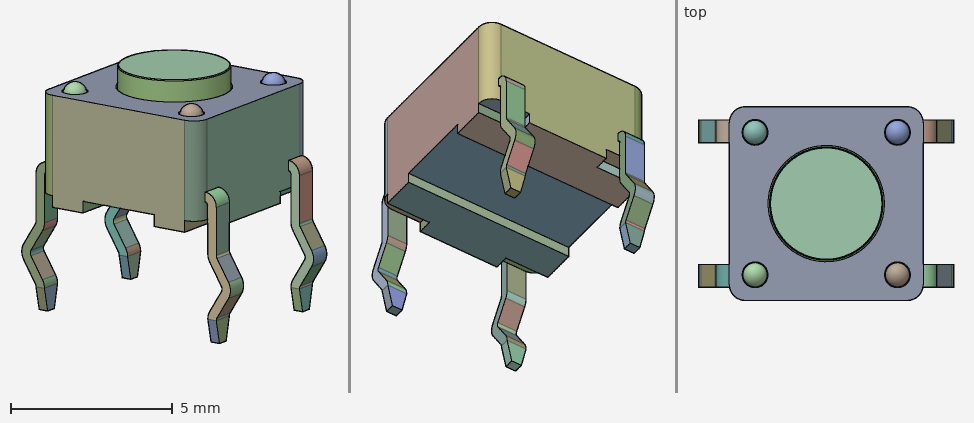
import cadquery as cq
import math


housing_side = 6.0
housing_top = 3.6
corner_radius = 0.5
foot_height = 0.38
centre_channel_width = 2.69
side_foot_length = 2.87

cover_thickness = 0.3
button_hole_diameter = 3.6
peg_hole_diameter = 0.8

button_diameter = 3.5
button_top = 4.29
button_chamfer = 0.03
peg_diameter = 0.75
peg_top = 3.89
peg_offset = 2.2

lead_span = 7.89
lead_thickness = 0.32
lead_width = 0.71
lead_offset = 2.23
leg_outer_span = 6.82
shoulder_top = 1.28
shoulder_inner_radius = 0.1
bend_inner_radius = 0.165
kink_angle = math.radians(32.0)
kink_apex_z = -1.735
lead_bottom = -3.56
tip_start_z = -2.785
tip_width = 0.36
lead_embed = 0.16

half_side = housing_side / 2
cover_floor = housing_top - cover_thickness


def grid(offset):
    """Four positions, symmetric about X and Y."""
    return [(x, y) for x in (-offset, offset) for y in (-offset, offset)]


def make_housing():
    upper = (
        cq.Workplane("XY", origin=(0, 0, foot_height))
        .rect(housing_side, housing_side)
        .extrude(housing_top - foot_height)
        .edges("|Z")
        .fillet(corner_radius)
    )
    straight_side = housing_side - 2 * corner_radius
    feet = (
        cq.Workplane("XY")
        .rect(straight_side, housing_side)
        .extrude(foot_height)
        .union(cq.Workplane("XY").rect(housing_side, side_foot_length).extrude(foot_height))
        .cut(cq.Workplane("XY").rect(centre_channel_width, housing_side).extrude(foot_height))
    )
    return upper.union(feet)


def cut_cover_holes(body):
    cover = cq.Workplane("XY", origin=(0, 0, cover_floor))
    button_hole = cover.circle(button_hole_diameter / 2).extrude(cover_thickness)
    peg_holes = cover.pushPoints(grid(peg_offset)).circle(peg_hole_diameter / 2).extrude(cover_thickness)
    return body.cut(button_hole).cut(peg_holes)


def make_button():
    return (
        cq.Workplane("XY", origin=(0, 0, cover_floor))
        .circle(button_diameter / 2)
        .extrude(button_top - cover_floor)
        .faces(">Z")
        .chamfer(button_chamfer)
    )


def make_pegs():
    """Round pegs ending in hemispheres."""
    radius = peg_diameter / 2
    dome_centre_z = peg_top - radius
    shafts = (
        cq.Workplane("XY", origin=(0, 0, cover_floor))
        .pushPoints(grid(peg_offset))
        .circle(radius)
        .extrude(dome_centre_z - cover_floor)
    )
    domes = cq.Workplane("XY", origin=(0, 0, dome_centre_z)).pushPoints(grid(peg_offset)).sphere(radius)
    return shafts.union(domes)


def rounded_path(points, radii):
    """Open XZ path through points, with each inner corner rounded to its radius."""
    path = cq.Workplane("XZ").moveTo(*points[0])
    for before, corner, after, radius in zip(points, points[1:], points[2:], radii):
        corner = cq.Vector(*corner)
        back = (cq.Vector(*before) - corner).normalized()
        ahead = (cq.Vector(*after) - corner).normalized()
        half_angle = back.getAngle(ahead) / 2
        setback = radius / math.tan(half_angle)
        to_arc_middle = radius / math.sin(half_angle) - radius
        start = corner + back * setback
        middle = corner + (back + ahead).normalized() * to_arc_middle
        end = corner + ahead * setback
        path = path.lineTo(start.x, start.y)
        path = path.threePointArc((middle.x, middle.y), (end.x, end.y))
    return path.lineTo(*points[-1])


def make_lead():
    """Lead on the +X side, centred on Y = 0."""
    half_thickness = lead_thickness / 2
    shoulder_radius = shoulder_inner_radius + half_thickness
    bend_radius = bend_inner_radius + half_thickness
    leg_x = leg_outer_span / 2 - half_thickness
    shoulder_z = shoulder_top - half_thickness

    apex_x = lead_span / 2 - half_thickness + bend_radius * (1 / math.cos(kink_angle) - 1)
    kink_half_height = (apex_x - leg_x) / math.tan(kink_angle)
    centreline = [
        (half_side - lead_embed, shoulder_z),
        (leg_x, shoulder_z),
        (leg_x, kink_apex_z + kink_half_height),
        (apex_x, kink_apex_z),
        (leg_x, kink_apex_z - kink_half_height),
        (leg_x, lead_bottom),
    ]
    path = rounded_path(centreline, [shoulder_radius] + [bend_radius] * 3)
    strip = (
        cq.Workplane("YZ", origin=(half_side - lead_embed, 0, shoulder_z))
        .rect(lead_width, lead_thickness)
        .sweep(path)
    )

    half_width = lead_width / 2
    half_tip = tip_width / 2
    tapered_outline = (
        cq.Workplane("YZ")
        .polyline([
            (-half_width, shoulder_top),
            (-half_width, tip_start_z),
            (-half_tip, lead_bottom),
            (half_tip, lead_bottom),
            (half_width, tip_start_z),
            (half_width, shoulder_top),
        ])
        .close()
        .extrude(lead_span / 2)
    )
    return strip.intersect(tapered_outline)


result = cut_cover_holes(make_housing()).union(make_button()).union(make_pegs())

right_lead = make_lead()
for lead in (right_lead, right_lead.mirror("YZ")):
    for lead_y in (-lead_offset, lead_offset):
        result = result.union(lead.translate((0, lead_y, 0)))